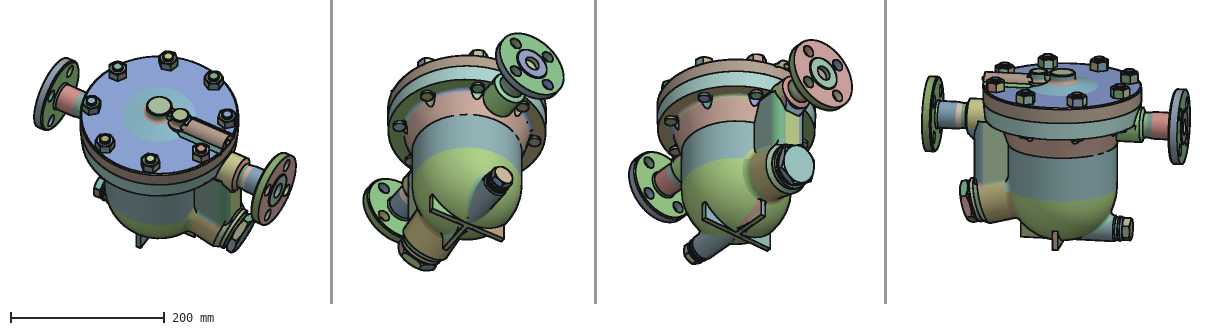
import cadquery as cq
import math

JOIN_OVERLAP = 3.5
HEX_TRIM_ANGLE = 30
SEAM_SAMPLES = (0.1, 0.4, 0.7, 0.9)
SEAM_TOLERANCE = 0.05

body_radius = 71.5
cone_bottom_z = 130.2
cone_top_z = 160.5
cone_top_radius = 81.5
flange_bottom_z = 164.5
flange_joint_z = 187.0
flange_bottom_half_x = 100.5
underside_fillet = 4.0

cover_radius = 103.0
cover_top_z = 207.5
cover_edge = 1.7
dome_base_radius = 47.0
dome_top_z = 213.5
crown_radius = 33.0 / 2
crown_fillet = 5.0
crown_top_z = 225.8
crown_edge = 1.5

plug_x = 31.3
plug_radius = 11.5
plug_foot_radius = 16.0
web_half_width = 6.8
web_top_z = 222.5
saddle_half_width = 6.8
saddle_bottom_z = 218.3
tube_radius = 13.5
tube_axis_z = 206.7
tube_end_x = 102.0
tube_foot_half_width = 19.0
tube_tangent_half_width = 13.0
nub_radius = 3.7
nub_z = 211.5

stud_count = 8
stud_circle_radius = 89.0
stud_first_angle = 22.5
stud_radius = 14.0 / 2
stud_top_z = 222.7
stud_edge = 1.0
stud_foot_radius = 16.0 / 2
nut_flats = 21.8
nut_height = 12.2
nut_face_radius = 10.5
spotface_radius = 10.5
spotface_depth = 13.5

port_z = 159.8
inlet_face_x = -161.5
outlet_face_x = 178.5
port_boss_radius = 46.0 / 2
port_boss_start = 56.0
raised_face_radius = 46.0 / 2
raised_face_edge = 1.0
raised_face_height = 1.5
pipe_flange_radius = 49.0
pipe_flange_back = 13.3
pipe_flange_edge = 1.7
hub_radius = 19.0
hub_end = 16.3
pipe_radius = 17.7
pipe_end = 40.5
neck_radius = 33.0 / 2
neck_start = 47.3
neck_end = 52.7
bore_radius = 20.0 / 2
bore_depth = 6.8
bolt_hole_radius = 16.0 / 2
bolt_hole_offset = 24.5

riser_half_width = 24.8
riser_end_x = 114.2
riser_corner = 13.5
riser_bottom_z = 61.2
riser_gusset_top_x = 128.5
riser_gusset_top_z = 149.5
riser_gusset_top_half_width = 20.5
riser_gusset_end_x = 122.5
riser_gusset_bottom_z = 131.0

strainer_tilt = 15.0
strainer_face_x = 128.0
strainer_face_z = 42.5
strainer_boss_radius = 33.5
strainer_boss_length = 54.5
strainer_taper_length = 7.0
strainer_taper_radius = 29.5
strainer_fillet = 10.2
strainer_hex_flats = 49.5
strainer_hex_height = 11.0
strainer_collar_radius = 58.0 / 2
strainer_collar_height = 8.5
strainer_groove_radius = 26.0
strainer_groove_height = 3.5

drain_z = 17.0
drain_boss_radius = 17.0
drain_boss_end_x = -71.5
drain_boss_edge = 2.0
drain_collar_radius = 15.0
drain_collar_end_x = -81.0
drain_washer_radius = 16.0
drain_washer_thickness = 2.7
drain_washer_end_x = -77.5
drain_hex_flats = 26.5
drain_hex_end_x = -91.0
drain_fillet = 5.0
root_height = 64.5
root_clearance = 1.0

leg_reach = 54.7
leg_height = 26.2
leg_x_height = 24.5
leg_thickness = 6.8
leg_fillet = 5.0


def chamfered_hex(plane, across_flats, height, face_radius, both_ends=False):
    """Hexagon with its corners trimmed by a cone at the far end, or at both ends."""
    corner_radius = across_flats / 2 / math.cos(math.radians(30))
    trim_width = corner_radius - face_radius
    trim_height = trim_width * math.tan(math.radians(HEX_TRIM_ANGLE))
    hexagon = cq.Workplane("XY").polygon(6, 2 * corner_radius).extrude(height)
    trimmer = (
        cq.Workplane("XY")
        .circle(corner_radius)
        .extrude(height)
        .faces("<Z or >Z" if both_ends else ">Z")
        .edges()
        .chamfer(trim_height, trim_width)
    )
    return cq.Workplane(hexagon.intersect(trimmer).val().moved(plane.location))


def body_shell():
    """Hemispherical bottom, straight wall and flared neck."""
    chord = body_radius * math.sqrt(0.5)
    return (
        cq.Workplane("XZ")
        .moveTo(0, 0)
        .threePointArc((chord, body_radius - chord), (body_radius, body_radius))
        .lineTo(body_radius, cone_bottom_z)
        .lineTo(cone_top_radius, cone_top_z)
        .threePointArc(
            (
                cone_top_radius + underside_fillet * (1 - math.sqrt(0.5)),
                cone_top_z + underside_fillet * math.sqrt(0.5),
            ),
            (cone_top_radius + underside_fillet, flange_bottom_z),
        )
        .lineTo(cone_top_radius, flange_joint_z)
        .lineTo(0, flange_joint_z)
        .close()
        .revolve(360, (0, 0, 0), (0, 1, 0))
    )


def body_flange():
    """Flange whose round rim narrows along X toward its underside."""
    return (
        cq.Workplane("XY", origin=(0, 0, flange_bottom_z))
        .ellipse(flange_bottom_half_x, cover_radius)
        .workplane(offset=flange_joint_z - flange_bottom_z)
        .ellipse(cover_radius - SEAM_TOLERANCE, cover_radius)
        .loft(ruled=True)
    )


def cover():
    """Cover plate with a shallow cone and a round crown in the middle."""
    arc_start = (crown_radius + crown_fillet, dome_top_z)
    arc_end = (crown_radius, dome_top_z + crown_fillet)
    arc_inset = crown_fillet * (1 - math.sqrt(0.5))
    plate = (
        cq.Workplane("XY", origin=(0, 0, flange_joint_z))
        .circle(cover_radius)
        .extrude(cover_top_z - flange_joint_z)
        .faces(">Z")
        .edges()
        .chamfer(cover_edge)
    )
    crown = (
        cq.Workplane("XZ")
        .moveTo(0, cover_top_z - JOIN_OVERLAP)
        .lineTo(dome_base_radius, cover_top_z - JOIN_OVERLAP)
        .lineTo(dome_base_radius, cover_top_z)
        .lineTo(*arc_start)
        .threePointArc((crown_radius + arc_inset, dome_top_z + arc_inset), arc_end)
        .lineTo(crown_radius, crown_top_z - crown_edge)
        .lineTo(crown_radius - crown_edge, crown_top_z)
        .lineTo(0, crown_top_z)
        .close()
        .revolve(360, (0, 0, 0), (0, 1, 0))
    )
    return plate.union(crown)


def vent_plug():
    """Small round plug beside the crown, with a web joining the two."""
    flare = plug_foot_radius - plug_radius
    flare_inset = flare * (1 - math.sqrt(0.5))
    plug = (
        cq.Workplane("XZ", origin=(plug_x, 0, 0))
        .moveTo(0, cover_top_z - JOIN_OVERLAP)
        .lineTo(plug_foot_radius, cover_top_z - JOIN_OVERLAP)
        .lineTo(plug_foot_radius, dome_top_z)
        .threePointArc(
            (plug_radius + flare_inset, dome_top_z + flare_inset), (plug_radius, dome_top_z + flare)
        )
        .lineTo(plug_radius, crown_top_z - crown_edge)
        .lineTo(plug_radius - crown_edge, crown_top_z)
        .lineTo(0, crown_top_z)
        .close()
        .revolve(360, (0, 0, 0), (0, 1, 0))
    )
    web = (
        cq.Workplane("XY", origin=(plug_x / 2, 0, cover_top_z))
        .rect(plug_x, 2 * web_half_width)
        .extrude(web_top_z - cover_top_z)
    )
    saddle_cone = (
        cq.Workplane("XY", origin=(plug_x, 0, saddle_bottom_z))
        .circle(plug_foot_radius)
        .workplane(offset=flare)
        .circle(plug_radius)
        .loft()
    )
    tube_side = (
        cq.Workplane("XY", origin=(plug_x + plug_foot_radius / 2, 0, saddle_bottom_z))
        .rect(plug_foot_radius, 2 * saddle_half_width)
        .extrude(flare)
    )
    return plug.union(web).union(saddle_cone.intersect(tube_side))


def cover_tube():
    """Half-buried tube with flared sides, running from the plug to the rim."""
    tangent_z = tube_axis_z + math.sqrt(tube_radius**2 - tube_tangent_half_width**2)
    tube = (
        cq.Workplane("YZ", origin=(plug_x, 0, 0))
        .moveTo(-tube_foot_half_width, cover_top_z - JOIN_OVERLAP)
        .lineTo(-tube_foot_half_width, cover_top_z)
        .lineTo(-tube_tangent_half_width, tangent_z)
        .threePointArc((0, tube_axis_z + tube_radius), (tube_tangent_half_width, tangent_z))
        .lineTo(tube_foot_half_width, cover_top_z)
        .lineTo(tube_foot_half_width, cover_top_z - JOIN_OVERLAP)
        .close()
        .extrude(tube_end_x - plug_x)
    )
    nub = cq.Workplane("XY", origin=(tube_end_x, 0, nub_z)).sphere(nub_radius)
    return tube.union(nub)


def stud_with_nut():
    """Stud and nut at the first position, before being turned around the axis."""
    turn = math.radians(stud_first_angle)
    nut_plane = cq.Plane(
        origin=(stud_circle_radius, 0, cover_top_z),
        xDir=(math.cos(turn), math.sin(turn), 0),
        normal=(0, 0, 1),
    )
    nut = chamfered_hex(nut_plane, nut_flats, nut_height, nut_face_radius)
    stud = (
        cq.Workplane("XY", origin=(stud_circle_radius, 0, cover_top_z - JOIN_OVERLAP))
        .circle(stud_radius)
        .extrude(stud_top_z - cover_top_z + JOIN_OVERLAP)
        .faces(">Z")
        .edges()
        .chamfer(stud_edge)
    )
    foot = (
        cq.Workplane("XY", origin=(stud_circle_radius, 0, cone_top_z))
        .circle(stud_foot_radius)
        .extrude(flange_bottom_z - cone_top_z + JOIN_OVERLAP)
    )
    return [nut, stud, foot]


def around_studs(shape):
    step = 360 / stud_count
    return [shape.rotate((0, 0, 0), (0, 0, 1), stud_first_angle + i * step) for i in range(stud_count)]


def spotface():
    return (
        cq.Workplane("XY", origin=(stud_circle_radius, 0, flange_bottom_z))
        .circle(spotface_radius)
        .extrude(-spotface_depth)
    )


def pipe_port(face_x, inward):
    """Flanged pipe stub and body boss. `inward` is +1 for the inlet and -1 for the outlet."""
    boss_reach = abs(face_x) - body_radius + JOIN_OVERLAP
    profile = [
        (0, 0),
        (0, raised_face_radius - raised_face_edge),
        (raised_face_height, raised_face_radius),
        (raised_face_height, pipe_flange_radius),
        (pipe_flange_back - pipe_flange_edge, pipe_flange_radius),
        (pipe_flange_back, pipe_flange_radius - pipe_flange_edge),
        (pipe_flange_back, hub_radius),
        (hub_end, pipe_radius),
        (pipe_end, pipe_radius),
        (neck_start, neck_radius),
        (neck_end, neck_radius),
        (port_boss_start, port_boss_radius),
        (boss_reach, port_boss_radius),
        (boss_reach, 0),
    ]
    points = [(face_x + inward * depth, radius) for depth, radius in profile]
    return (
        cq.Workplane("XZ", origin=(0, 0, port_z))
        .polyline(points)
        .close()
        .revolve(360, (0, 0, 0), (1, 0, 0))
    )


def pipe_holes(face_x, inward):
    """Shallow blind bore and the four flange bolt holes."""
    face = cq.Workplane("YZ", origin=(face_x, 0, port_z))
    bore = face.circle(bore_radius).extrude(inward * bore_depth)
    bolt_holes = (
        face.rect(2 * bolt_hole_offset, 2 * bolt_hole_offset, forConstruction=True)
        .vertices()
        .circle(bolt_hole_radius)
        .extrude(inward * (pipe_flange_back + JOIN_OVERLAP))
    )
    return bore.union(bolt_holes)


def inlet_cheeks():
    """Straight sides that carry the round inlet boss up into the flange."""
    return cq.Workplane("XY").box(
        flange_bottom_half_x,
        2 * port_boss_radius,
        flange_bottom_z - port_z,
        centered=(False, True, False),
    ).translate((-flange_bottom_half_x, 0, port_z))


def riser():
    """Upright passage with rounded outer corners and a gusset under the outlet boss."""
    column = (
        cq.Workplane("XY", origin=(0, 0, riser_bottom_z))
        .rect(2 * riser_end_x, 2 * riser_half_width)
        .extrude(port_z - riser_bottom_z)
        .edges("|Z and >X")
        .fillet(riser_corner)
    )
    outer_half = cq.Workplane("XY").box(
        riser_gusset_end_x, 2 * cover_radius, crown_top_z, centered=(False, True, False)
    )
    gusset = (
        cq.Workplane("XY", origin=(0, 0, riser_gusset_bottom_z))
        .rect(2 * riser_end_x, 2 * (riser_half_width - riser_corner))
        .workplane(offset=riser_gusset_top_z - riser_gusset_bottom_z)
        .rect(2 * riser_gusset_top_x, 2 * riser_gusset_top_half_width)
        .loft(ruled=True)
    )
    return column.union(gusset).intersect(outer_half)


def strainer_plane(distance_back):
    """Plane across the strainer axis, a distance behind the outer face of the cap."""
    tilt = math.radians(strainer_tilt)
    return cq.Plane(
        origin=(
            strainer_face_x - distance_back * math.cos(tilt),
            0,
            strainer_face_z + distance_back * math.sin(tilt),
        ),
        xDir=(-math.sin(tilt), 0, -math.cos(tilt)),
        normal=(math.cos(tilt), 0, -math.sin(tilt)),
    )


def strainer_barrel(length_ahead):
    """Round boss that runs past the start of its taper by `length_ahead`."""
    taper_start = strainer_hex_height + strainer_collar_height + strainer_taper_length
    return (
        cq.Workplane(strainer_plane(taper_start - length_ahead))
        .circle(strainer_boss_radius)
        .extrude(-strainer_boss_length - length_ahead)
    )


def strainer_taper():
    taper_base = strainer_hex_height + strainer_collar_height + strainer_taper_length
    return (
        cq.Workplane(strainer_plane(taper_base))
        .circle(strainer_boss_radius)
        .workplane(offset=strainer_taper_length)
        .circle(strainer_taper_radius)
        .loft()
    )


def on_strainer_barrel(edge):
    """True for a seam that follows the boss wall rather than one of its flat ends."""
    axis = strainer_plane(0)
    points = [axis.toLocalCoords(edge.positionAt(t)) for t in SEAM_SAMPLES]
    on_wall = all(abs(math.hypot(p.x, p.y) - strainer_boss_radius) < SEAM_TOLERANCE for p in points)
    return on_wall and edge.geomType() != "CIRCLE"


def riser_on_strainer():
    """Riser with a rounded foot on the boss; ahead of the taper only its footprint is kept."""
    joined = riser().union(strainer_barrel(strainer_taper_length))
    over_boss = joined.edges().filter(
        lambda edge: on_strainer_barrel(edge) and edge.Center().z > strainer_face_z + riser_half_width
    )
    rounded = over_boss.fillet(strainer_fillet)
    surplus = (
        cq.Workplane(strainer_plane(strainer_hex_height + strainer_collar_height))
        .circle(strainer_boss_radius + strainer_fillet)
        .extrude(-strainer_taper_length)
        .cut(strainer_taper())
        .cut(riser())
    )
    return rounded.cut(surplus)


def shell_with_strainer(shell):
    joined = shell.union(strainer_barrel(0))
    root = joined.edges().filter(lambda edge: on_strainer_barrel(edge) and edge.geomType() != "LINE")
    return root.fillet(strainer_fillet).union(strainer_taper()).union(riser_on_strainer())


def strainer_cap():
    boss_end = strainer_hex_height + strainer_collar_height
    collar = (
        cq.Workplane(strainer_plane(boss_end + JOIN_OVERLAP))
        .circle(strainer_collar_radius)
        .extrude(strainer_collar_height - strainer_groove_height + JOIN_OVERLAP)
        .faces(">X")
        .workplane()
        .circle(strainer_groove_radius)
        .extrude(strainer_groove_height)
    )
    cap_plane = strainer_plane(strainer_hex_height)
    cap = chamfered_hex(cap_plane, strainer_hex_flats, strainer_hex_height, strainer_hex_flats / 2, True)
    return collar.union(cap)


def drain_boss():
    return (
        cq.Workplane("YZ", origin=(drain_boss_end_x, 0, drain_z))
        .circle(drain_boss_radius)
        .extrude(-drain_boss_end_x)
        .faces("<X")
        .edges()
        .chamfer(drain_boss_edge)
    )


def drain_plug():
    collar = (
        cq.Workplane("YZ", origin=(drain_boss_end_x + JOIN_OVERLAP, 0, drain_z))
        .circle(drain_collar_radius)
        .extrude(drain_collar_end_x - drain_boss_end_x - JOIN_OVERLAP)
    )
    washer = (
        cq.Workplane("YZ", origin=(drain_washer_end_x, 0, drain_z))
        .circle(drain_washer_radius)
        .extrude(drain_washer_thickness)
    )
    hex_plane = cq.Plane(origin=(drain_collar_end_x, 0, drain_z), xDir=(0, 0, 1), normal=(-1, 0, 0))
    hex_height = drain_collar_end_x - drain_hex_end_x
    return collar.union(washer).union(
        chamfered_hex(hex_plane, drain_hex_flats, hex_height, drain_hex_flats / 2, True)
    )


def legs():
    """Flat feet along +Y, -Y and +X that bring the round bottom to a level base."""
    cross = cq.Workplane("XY").rect(leg_thickness, 2 * leg_reach).extrude(leg_height)
    side = cq.Workplane("XY").box(leg_reach, leg_thickness, leg_x_height, centered=(False, True, False))
    return cross.union(side)


def rounded_root(feature, follows_wall, radius, x_start, x_end, excluded):
    """Lower shell and a feature joined by a fillet, between two X positions and clear of the base.

    Edges of the `excluded` curve types are ends of the feature, not part of the seam.
    """
    region = (
        cq.Workplane("XY", origin=((x_start + x_end) / 2, 0, root_clearance))
        .rect(x_end - x_start, 2 * body_radius)
        .extrude(root_height)
    )
    joined = body_shell().rotate((0, 0, 0), (0, 0, 1), 90).union(feature).intersect(region)

    def is_seam(edge):
        points = [edge.positionAt(t) for t in SEAM_SAMPLES]
        return edge.geomType() not in excluded and all(follows_wall(p) for p in points)

    return joined.edges().filter(is_seam).fillet(radius)


def drain_root():
    def follows_wall(point):
        return abs(math.hypot(point.y, point.z - drain_z) - drain_boss_radius) < SEAM_TOLERANCE

    return rounded_root(drain_boss(), follows_wall, drain_fillet, drain_boss_end_x, 0, ("CIRCLE", "LINE"))


def leg_root():
    """Fillets along both sides of the +X leg, formed on a longer leg and cut back."""

    def follows_wall(point):
        return abs(abs(point.y) - leg_thickness / 2) < SEAM_TOLERANCE

    long_reach = leg_reach + leg_thickness
    long_leg = cq.Workplane("XY").rect(2 * body_radius, leg_thickness).extrude(leg_x_height)
    root = rounded_root(long_leg, follows_wall, leg_fillet, JOIN_OVERLAP, long_reach, ("LINE",))
    return root.intersect(cq.Workplane("XY").rect(2 * leg_reach, 2 * leg_reach).extrude(leg_x_height))


shell = body_shell()
for seat in around_studs(spotface()):
    shell = shell.cut(seat)
result = shell_with_strainer(shell).union(drain_boss()).union(drain_root())
result = result.union(leg_root()).union(body_flange())

for feature in (cover(), vent_plug(), cover_tube(), strainer_cap(), drain_plug(), legs(), inlet_cheeks()):
    result = result.union(feature)

for port_face_x, inward_sign in ((inlet_face_x, 1), (outlet_face_x, -1)):
    result = result.union(pipe_port(port_face_x, inward_sign))
    result = result.cut(pipe_holes(port_face_x, inward_sign))

for stud_piece in stud_with_nut():
    for placed_piece in around_studs(stud_piece):
        result = result.union(placed_piece)